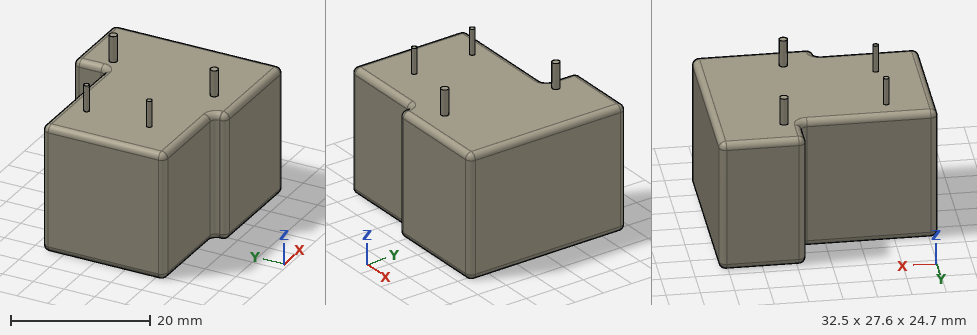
import cadquery as cq

length = 32.5
width = 27.6
total_height = 24.7
pin_height = 4.2
body_height = total_height - pin_height
edge_radius = 1.0

front_step_x = 14.98
front_step_y = 2.1
back_step_x = 20.0
back_step_y = 22.05

thin_pin_diameter = 0.8
thick_pin_diameter = 1.2
thin_pin_places = [(7.0, 8.3), (7.0, 18.5)]
thick_pin_places = [(19.85, 4.55), (22.4, 22.33)]


def make_housing():
    """Stepped block with every edge rounded, inside corners included."""
    outline = [
        (front_step_x, 0),
        (length, 0),
        (length, width),
        (back_step_x, width),
        (back_step_x, back_step_y),
        (0, back_step_y),
        (0, front_step_y),
        (front_step_x, front_step_y),
    ]
    block = cq.Workplane("XY").polyline(outline).close().extrude(body_height)
    block = block.edges("|Z").fillet(edge_radius)
    return block.faces("<Z or >Z").edges().fillet(edge_radius)


def make_pins(places, diameter):
    """Round pins that start inside the housing and end at full height."""
    root_depth = edge_radius
    return (
        cq.Workplane("XY")
        .workplane(offset=body_height - root_depth)
        .pushPoints(places)
        .circle(diameter / 2)
        .extrude(pin_height + root_depth)
    )


result = (
    make_housing()
    .union(make_pins(thin_pin_places, thin_pin_diameter))
    .union(make_pins(thick_pin_places, thick_pin_diameter))
)